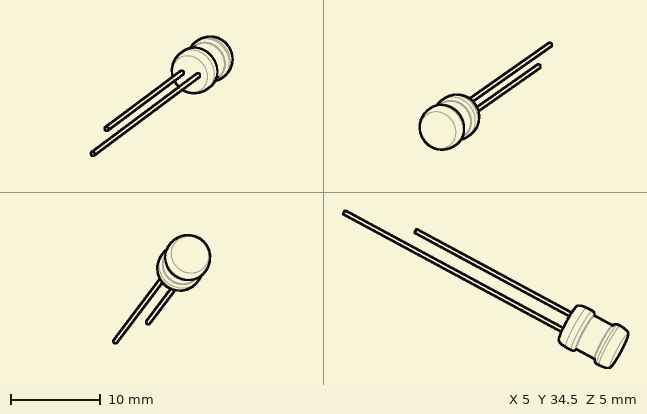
import cadquery as cq
import math

total_length = 34.5
body_length = 6.5
body_radius = 2.5

neck_radius = 2.15
end_face_radius = 2.15
back_rounding_length = 1.17
front_rounding_length = 1.05
back_rim_length = 0.3
front_rim_length = 0.72

shoulder_radius = 0.4
neck_fillet_radius = 0.1

lead_diameter = 0.5
lead_offset = 1.0
short_lead_length = 20.0
long_lead_length = total_length - body_length

back_y = total_length / 2
front_y = back_y - body_length


def make_body():
    """Revolve the half outline of the body about Y."""
    end_drop = body_radius - end_face_radius
    back_rim_start = back_y - back_rounding_length
    back_rim_end = back_rim_start - back_rim_length
    front_rim_end = front_y + front_rounding_length
    front_rim_start = front_rim_end + front_rim_length

    shoulder_drop = body_radius - neck_radius
    turn_angle = math.acos(1 - shoulder_drop / (shoulder_radius + neck_fillet_radius))
    convex_length = shoulder_radius * math.sin(turn_angle)
    fillet_length = neck_fillet_radius * math.sin(turn_angle)
    shoulder_length = convex_length + fillet_length
    joint_radius = neck_radius + neck_fillet_radius * (1 - math.cos(turn_angle))

    outline = (
        cq.Workplane("XY")
        .moveTo(0, back_y)
        .lineTo(end_face_radius, back_y)
        .ellipseArc(end_drop, back_rounding_length, 0, 90, sense=-1)
        .lineTo(body_radius, back_rim_end)
        .tangentArcPoint((joint_radius, back_rim_end - convex_length), relative=False)
        .tangentArcPoint((neck_radius, back_rim_end - shoulder_length), relative=False)
        .lineTo(neck_radius, front_rim_start + shoulder_length)
        .tangentArcPoint((joint_radius, front_rim_start + convex_length), relative=False)
        .tangentArcPoint((body_radius, front_rim_start), relative=False)
        .lineTo(body_radius, front_rim_end)
        .ellipseArc(end_drop, front_rounding_length, -90, 0, sense=-1)
        .lineTo(0, front_y)
        .close()
    )
    return outline.revolve(360, (0, 0, 0), (0, 1, 0))


def make_lead(x, length):
    """Straight round wire leaving the front face towards -Y, parallel to the axis."""
    return (
        cq.Workplane("XZ", origin=(x, front_y, 0))
        .circle(lead_diameter / 2)
        .extrude(length)
    )


result = (
    make_body()
    .union(make_lead(-lead_offset, short_lead_length))
    .union(make_lead(lead_offset, long_lead_length))
)